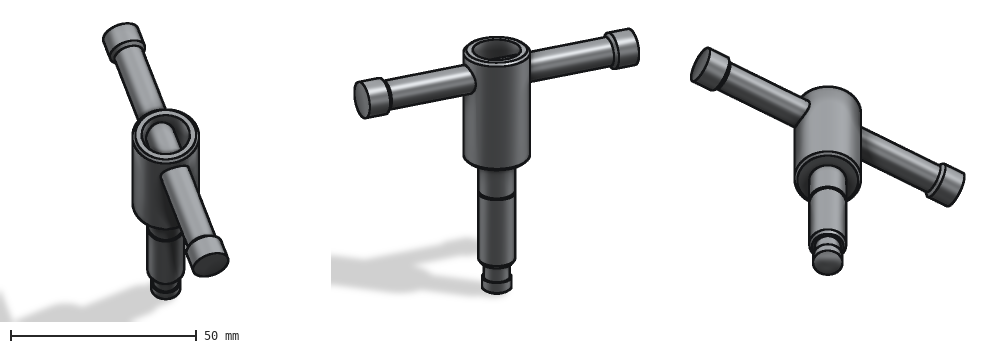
import cadquery as cq
import math

head_diameter = 18.0
head_length = 32.0
head_chamfer = 0.8
bore_radius = 6.5
bore_depth = 16.0
bore_tip_angle = 120.0

shank_diameter = 10.0
groove_depth = 0.2
groove_top = 42.0
groove_bottom = 42.4
shank_end = 63.0
shank_chamfer_height = 1.0
shank_chamfer_width = 0.7

neck_radius = 3.5
neck_end = 67.5
tip_radius = 4.0
overall_length = 72.0
dome_radius = 6.0

bar_length = 80.0
bar_radius = 4.0
bar_depth = 7.0
knob_diameter = 10.0
knob_length = 6.0

head_radius = head_diameter / 2
shank_radius = shank_diameter / 2
knob_radius = knob_diameter / 2
dome_height = dome_radius - math.sqrt(dome_radius**2 - tip_radius**2)
dome_start = overall_length - dome_height
bore_tip_height = bore_radius / math.tan(math.radians(bore_tip_angle / 2))
knob_taper = knob_radius - bar_radius


def turned_spindle():
    """Head, shank, neck and domed tip as one revolved profile."""
    half_chord = tip_radius / 2
    dome_mid_depth = overall_length - dome_radius + math.sqrt(dome_radius**2 - half_chord**2)
    groove_radius = shank_radius - groove_depth
    return (
        cq.Workplane("XZ")
        .moveTo(0, 0)
        .lineTo(head_radius - head_chamfer, 0)
        .lineTo(head_radius, -head_chamfer)
        .lineTo(head_radius, -head_length + head_chamfer)
        .lineTo(head_radius - head_chamfer, -head_length)
        .lineTo(shank_radius, -head_length)
        .lineTo(shank_radius, -groove_top)
        .lineTo(groove_radius, -groove_top)
        .lineTo(groove_radius, -groove_bottom)
        .lineTo(shank_radius, -groove_bottom)
        .lineTo(shank_radius, -shank_end + shank_chamfer_height)
        .lineTo(shank_radius - shank_chamfer_width, -shank_end)
        .lineTo(neck_radius, -shank_end)
        .lineTo(neck_radius, -neck_end)
        .lineTo(tip_radius, -neck_end)
        .lineTo(tip_radius, -dome_start)
        .threePointArc((half_chord, -dome_mid_depth), (0, -overall_length))
        .close()
        .revolve(360, (0, 0), (0, 1))
    )


def head_bore():
    """Blind drilled bore with a conical floor."""
    return (
        cq.Workplane("XZ")
        .moveTo(0, 0)
        .lineTo(bore_radius, 0)
        .lineTo(bore_radius, -bore_depth)
        .lineTo(0, -bore_depth - bore_tip_height)
        .close()
        .revolve(360, (0, 0), (0, 1))
    )


def cross_hole():
    """Hole through the head that the handle bar fills."""
    return (
        cq.Workplane("YZ")
        .center(0, -bar_depth)
        .circle(bar_radius)
        .extrude(head_radius, both=True)
    )


def make_spindle():
    return turned_spindle().cut(head_bore()).cut(cross_hole())


def make_handle_bar():
    """Round bar with a tapered knob at each end."""
    bar_end = bar_length / 2
    knob_start = bar_end - knob_length
    taper_start = knob_start - knob_taper
    return (
        cq.Workplane("XY")
        .moveTo(-bar_end, 0)
        .lineTo(-bar_end, knob_radius)
        .lineTo(-knob_start, knob_radius)
        .lineTo(-taper_start, bar_radius)
        .lineTo(taper_start, bar_radius)
        .lineTo(knob_start, knob_radius)
        .lineTo(bar_end, knob_radius)
        .lineTo(bar_end, 0)
        .close()
        .revolve(360, (0, 0), (1, 0))
        .translate((0, 0, -bar_depth))
    )


spindle = make_spindle()
handle_bar = make_handle_bar()

result = cq.Compound.makeCompound([spindle.val(), handle_bar.val()])